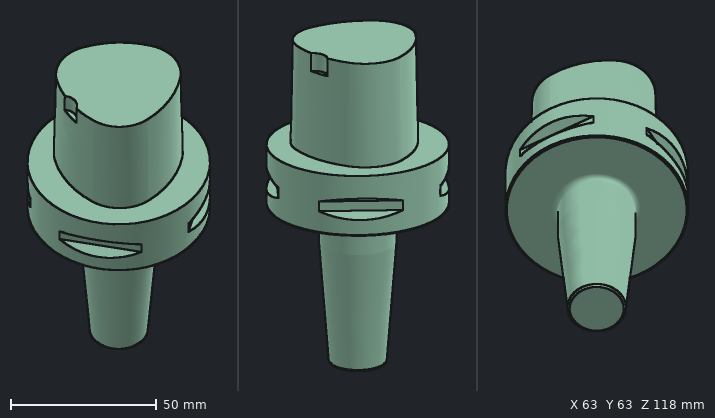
import cadquery as cq
import math

total_length = 118.0
shank_length = 37.9
flange_height = 22.2
nose_bottom = shank_length - total_length

flange_diameter = 63.0
flange_radius = flange_diameter / 2
flange_chamfer = 0.5

neck_radius = 26.9 / 2
neck_fillet = 2.0
taper_start = -35.9
tip_radius = 10.0
tip_chamfer = 0.7

lobe_radius = 23.4
joint_radius = 22.1
flat_radius = 20.47
shank_reduction = 0.7
lobe_count = 3
lobe_half_angle = 25.9

notch_radius = 5.0
notch_depth = 6.5
notch_wall = 17.8

groove_count = 4
groove_floor_distance = 28.0
groove_floor_height = 3.5
groove_mouth_height = 7.9
groove_center = -12.3


def polar(radius, angle):
    """Point at the given radius and angle in degrees."""
    return (radius * math.cos(math.radians(angle)), radius * math.sin(math.radians(angle)))


def lobed_outline(sketch, reduction):
    """Closed outline of three lobe arcs joined by three flatter arcs, one lobe towards +Y."""
    pitch = 360 / lobe_count
    joint = joint_radius - reduction
    sketch = sketch.moveTo(*polar(joint, 90 - lobe_half_angle))
    for i in range(lobe_count):
        lobe = 90 + i * pitch
        sketch = sketch.threePointArc(
            polar(lobe_radius - reduction, lobe), polar(joint, lobe + lobe_half_angle)
        )
        sketch = sketch.threePointArc(
            polar(flat_radius - reduction, lobe + pitch / 2), polar(joint, lobe + pitch - lobe_half_angle)
        )
    return sketch.close()


def make_shank():
    """Tapered three-lobed shank standing on the flange."""
    base = lobed_outline(cq.Workplane("XY"), 0)
    return lobed_outline(base.workplane(offset=shank_length), shank_reduction).loft(ruled=True)


def make_flange_and_nose():
    """Flange and tapered nose, revolved about Z."""
    fillet_mid = neck_fillet * (1 - math.sqrt(0.5))
    tip_slope = (neck_radius - tip_radius) / (taper_start - nose_bottom)
    return (
        cq.Workplane("XZ")
        .moveTo(0, 0)
        .lineTo(flange_radius, 0)
        .lineTo(flange_radius, flange_chamfer - flange_height)
        .lineTo(flange_radius - flange_chamfer, -flange_height)
        .lineTo(neck_radius + neck_fillet, -flange_height)
        .threePointArc(
            (neck_radius + fillet_mid, -flange_height - fillet_mid),
            (neck_radius, -flange_height - neck_fillet),
        )
        .lineTo(neck_radius, taper_start)
        .lineTo(tip_radius + tip_slope * tip_chamfer, nose_bottom + tip_chamfer)
        .lineTo(tip_radius - tip_chamfer, nose_bottom)
        .lineTo(0, nose_bottom)
        .close()
        .revolve(360, (0, 0), (0, 1))
    )


def make_notch():
    """Round-walled cutter on the -Y side of the shank."""
    return (
        cq.Workplane("XY", origin=(0, -notch_wall - notch_radius, shank_length - notch_depth))
        .circle(notch_radius)
        .extrude(notch_depth)
    )


def make_groove():
    """Straight cutter along Y, flaring from a narrow floor to a wider mouth at the rim."""
    floor_half = groove_floor_height / 2
    mouth_half = groove_mouth_height / 2
    return (
        cq.Workplane("XZ", origin=(0, 0, groove_center))
        .polyline([
            (groove_floor_distance, -floor_half),
            (flange_radius, -mouth_half),
            (flange_radius, mouth_half),
            (groove_floor_distance, floor_half),
        ])
        .close()
        .extrude(flange_radius, both=True)
    )


result = make_flange_and_nose().union(make_shank()).cut(make_notch())
for i in range(groove_count):
    groove_angle = 45 + i * 360 / groove_count
    result = result.cut(make_groove().rotate((0, 0, 0), (0, 0, 1), groove_angle))